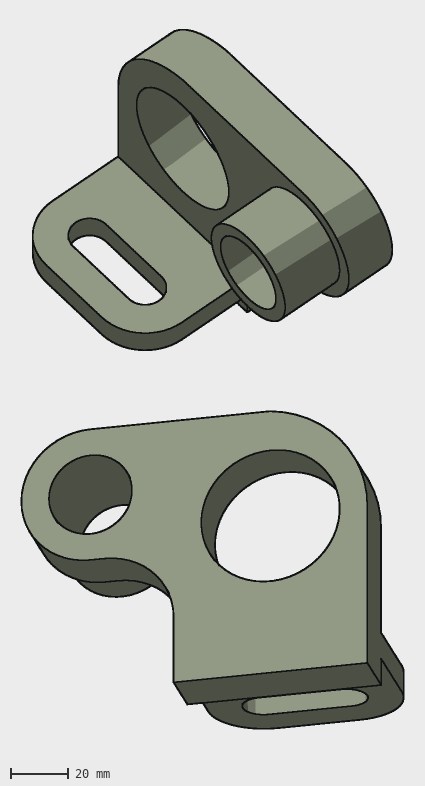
import cadquery as cq

plate_thickness = 20.0
height = 100.0
foot_width = 70.0
shoulder_radius = 40.0
inner_corner_radius = 25.0
large_bore_diameter = 50.0
large_bore_x = foot_width / 2
large_bore_z = 60.0

arm_radius = 25.0
boss_x = 100.0
boss_z = height - arm_radius
arm_bottom = boss_z - arm_radius
boss_diameter = 40.0
boss_bore_diameter = 30.0
boss_length = 25.0

shelf_bottom = 10.0
shelf_thickness = 10.0
shelf_depth = 50.0
shelf_corner_radius = 20.0
slot_length = 45.0
slot_width = 15.0
slot_edge_distance = 20.0

total_depth = plate_thickness + shelf_depth


def cylinder_along_y(diameter, x, z, length):
    """Cylinder running from the rear face toward -Y."""
    return cq.Workplane("XZ").center(x, z).circle(diameter / 2).extrude(length)


def make_plate():
    outline = (
        cq.Workplane("XZ")
        .lineTo(foot_width, 0)
        .lineTo(foot_width, arm_bottom - inner_corner_radius)
        .radiusArc((foot_width + inner_corner_radius, arm_bottom), inner_corner_radius)
        .lineTo(boss_x, arm_bottom)
        .threePointArc((boss_x + arm_radius, boss_z), (boss_x, height))
        .lineTo(large_bore_x, height)
        .radiusArc((0, large_bore_z), -shoulder_radius)
        .close()
    )
    return outline.extrude(plate_thickness)


def make_shelf():
    shelf = (
        cq.Workplane("XY", origin=(0, -total_depth, shelf_bottom))
        .rect(foot_width, shelf_depth, centered=False)
        .extrude(shelf_thickness)
        .edges("|Z and <Y")
        .fillet(shelf_corner_radius)
    )
    slot = (
        cq.Workplane("XY", origin=(foot_width / 2, slot_edge_distance - total_depth, shelf_bottom))
        .slot2D(slot_length, slot_width)
        .extrude(shelf_thickness)
    )
    return shelf.cut(slot)


boss_reach = plate_thickness + boss_length
boss = cylinder_along_y(boss_diameter, boss_x, boss_z, boss_reach)
boss_bore = cylinder_along_y(boss_bore_diameter, boss_x, boss_z, boss_reach)
large_bore = cylinder_along_y(large_bore_diameter, large_bore_x, large_bore_z, plate_thickness)

result = make_plate().union(make_shelf()).union(boss).cut(boss_bore).cut(large_bore)